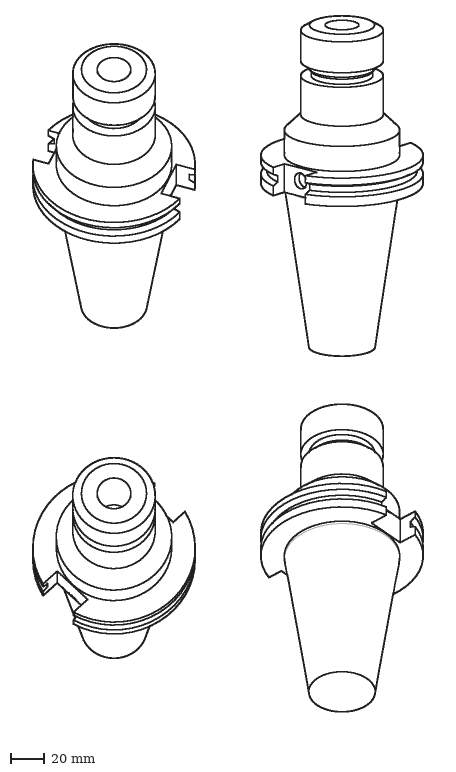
import cadquery as cq

TOTAL_HEIGHT = 203.2

GAUGE_HEIGHT = TOTAL_HEIGHT / 2
GAUGE_RADIUS = 35.0
TAPER_RATE = 7 / 24
TAPER_END_RADIUS = GAUGE_RADIUS - GAUGE_HEIGHT * TAPER_RATE / 2

FLANGE_RADIUS = 49.2
FLANGE_BOTTOM = 103.2
FLANGE_TOP = 121.1
GROOVE_RADIUS = 45.5
GROOVE_CENTER = 113.0
GROOVE_FLOOR_WIDTH = 3.9
GROOVE_MOUTH_WIDTH = 7.3

SHOULDER_TOP = 137.0
BODY_RADIUS = 25.0
BODY_BOTTOM = 146.7
BODY_TOP = 171.3

LOWER_NECK_RADIUS = 18.7
LOWER_NECK_TOP = 174.5
UPPER_NECK_RADIUS = 20.1
UPPER_NECK_BOTTOM = 176.2

NUT_BOTTOM = 180.5
NUT_TOP_RADIUS = 19.7
NUT_CHAMFER_HEIGHT = 3.3

BORE_RADIUS = 10.2
BORE_DEPTH = 40.6

SLOT_WIDTH = 26.2
LEFT_SLOT_FLOOR = 37.4
RIGHT_SLOT_FLOOR = 35.4

MARK_HOLE_RADIUS = 4.9
MARK_HOLE_DEPTH = 4.0


def turned_body():
    """Solid of revolution, from half profile points (radius, z)."""
    half_floor = GROOVE_FLOOR_WIDTH / 2
    half_mouth = GROOVE_MOUTH_WIDTH / 2
    shank = [
        (0, 0),
        (TAPER_END_RADIUS, 0),
        (GAUGE_RADIUS, GAUGE_HEIGHT),
        (GAUGE_RADIUS, FLANGE_BOTTOM),
    ]
    flange = [
        (FLANGE_RADIUS, FLANGE_BOTTOM),
        (FLANGE_RADIUS, GROOVE_CENTER - half_mouth),
        (GROOVE_RADIUS, GROOVE_CENTER - half_floor),
        (GROOVE_RADIUS, GROOVE_CENTER + half_floor),
        (FLANGE_RADIUS, GROOVE_CENTER + half_mouth),
        (FLANGE_RADIUS, FLANGE_TOP),
    ]
    body = [
        (GAUGE_RADIUS, FLANGE_TOP),
        (GAUGE_RADIUS, SHOULDER_TOP),
        (BODY_RADIUS, BODY_BOTTOM),
        (BODY_RADIUS, BODY_TOP),
    ]
    neck = [
        (LOWER_NECK_RADIUS, BODY_TOP),
        (LOWER_NECK_RADIUS, LOWER_NECK_TOP),
        (UPPER_NECK_RADIUS, UPPER_NECK_BOTTOM),
        (UPPER_NECK_RADIUS, NUT_BOTTOM),
    ]
    nut = [
        (BODY_RADIUS, NUT_BOTTOM),
        (BODY_RADIUS, TOTAL_HEIGHT - NUT_CHAMFER_HEIGHT),
        (NUT_TOP_RADIUS, TOTAL_HEIGHT),
        (0, TOTAL_HEIGHT),
    ]
    profile = cq.Workplane("XZ").polyline(shank + flange + body + neck + nut).close()
    return profile.revolve(360, (0, 0, 0), (0, 1, 0))


def tool_bore():
    """Blind bore from the top of the nut."""
    plane = cq.Workplane("XY").workplane(offset=TOTAL_HEIGHT)
    return plane.circle(BORE_RADIUS).extrude(-BORE_DEPTH)


def drive_slot(side, floor):
    """Slot through the flange thickness; side is -1 or +1, floor its distance from the axis."""
    slot_depth = FLANGE_RADIUS - floor
    return (
        cq.Workplane("XY")
        .workplane(offset=FLANGE_BOTTOM)
        .center(side * (floor + slot_depth / 2), 0)
        .rect(slot_depth, SLOT_WIDTH)
        .extrude(FLANGE_TOP - FLANGE_BOTTOM)
    )


def mark_hole():
    """Blind radial hole running inward from the -X slot floor."""
    plane = cq.Workplane("YZ", origin=(-LEFT_SLOT_FLOOR, 0, GROOVE_CENTER))
    return plane.circle(MARK_HOLE_RADIUS).extrude(MARK_HOLE_DEPTH)


result = (
    turned_body()
    .cut(tool_bore())
    .cut(drive_slot(-1, LEFT_SLOT_FLOOR))
    .cut(drive_slot(1, RIGHT_SLOT_FLOOR))
    .cut(mark_hole())
)